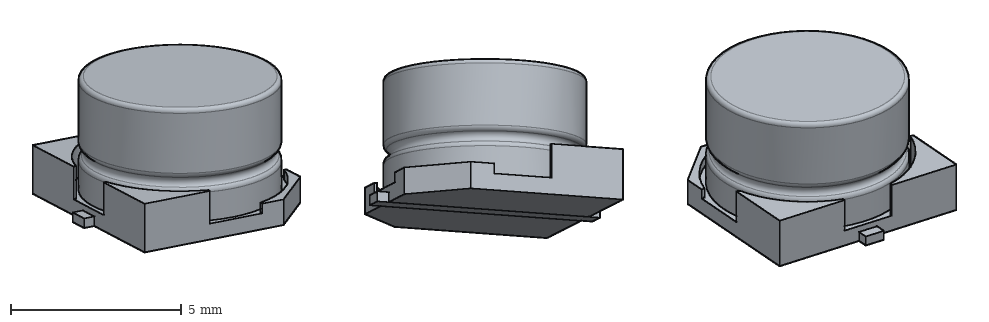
import cadquery as cq
import math

BASE_WIDTH = 6.3
LEAD_SPAN = 7.0
TOTAL_HEIGHT = 4.01

FLOOR_HEIGHT = 0.5
LOW_POST_HEIGHT = 0.8
HIGH_POST_HEIGHT = 1.51
CORNER_CUT = 1.51
RECESS_RADIUS = 3.18
END_GAP = 1.68
SIDE_GAP = 1.8

CAN_RADIUS = 2.99
TOP_EDGE_RADIUS = 0.14
GROOVE_HEIGHT = 1.7
GROOVE_DEPTH = 0.17
GROOVE_SPAN = 0.615

LEAD_WIDTH = 0.645
LEAD_THICKNESS = 0.3


def make_lead_strip():
    """Flat strip that runs through the base and projects at both ends."""
    return cq.Workplane("XY").box(LEAD_WIDTH, LEAD_SPAN, LEAD_THICKNESS, centered=(True, True, False))


def make_base():
    """Base plate with a bored recess and four corner posts, the +Y pair cut and lowered."""
    half = BASE_WIDTH / 2
    base = cq.Workplane("XY").box(BASE_WIDTH, BASE_WIDTH, HIGH_POST_HEIGHT, centered=(True, True, False))
    base = base.edges("|Z and >Y").chamfer(CORNER_CUT)

    low_side = (
        cq.Workplane("XY", origin=(0, half / 2, LOW_POST_HEIGHT))
        .box(BASE_WIDTH, half, HIGH_POST_HEIGHT, centered=(True, True, False))
    )
    bore = cq.Workplane("XY", origin=(0, 0, FLOOR_HEIGHT)).circle(RECESS_RADIUS).extrude(HIGH_POST_HEIGHT)
    base = base.cut(low_side).cut(bore)
    for size in ((END_GAP, BASE_WIDTH), (BASE_WIDTH, SIDE_GAP)):
        opening = cq.Workplane("XY", origin=(0, 0, FLOOR_HEIGHT)).rect(*size).extrude(HIGH_POST_HEIGHT)
        base = base.cut(opening)
    return base.cut(make_lead_strip())


def make_can():
    """Turned can: rounded top edge and a smooth S-lipped groove."""
    top_arc = TOP_EDGE_RADIUS * (1 - math.sqrt(0.5))
    lip = GROOVE_SPAN / 4
    half_depth = GROOVE_DEPTH / 2
    profile = (
        cq.Workplane("XZ")
        .moveTo(0, FLOOR_HEIGHT)
        .lineTo(CAN_RADIUS, FLOOR_HEIGHT)
        .lineTo(CAN_RADIUS, GROOVE_HEIGHT - 2 * lip)
        .tangentArcPoint((CAN_RADIUS - half_depth, GROOVE_HEIGHT - lip), relative=False)
        .tangentArcPoint((CAN_RADIUS - GROOVE_DEPTH, GROOVE_HEIGHT), relative=False)
        .tangentArcPoint((CAN_RADIUS - half_depth, GROOVE_HEIGHT + lip), relative=False)
        .tangentArcPoint((CAN_RADIUS, GROOVE_HEIGHT + 2 * lip), relative=False)
        .lineTo(CAN_RADIUS, TOTAL_HEIGHT - TOP_EDGE_RADIUS)
        .threePointArc(
            (CAN_RADIUS - top_arc, TOTAL_HEIGHT - top_arc),
            (CAN_RADIUS - TOP_EDGE_RADIUS, TOTAL_HEIGHT),
        )
        .lineTo(0, TOTAL_HEIGHT)
        .close()
    )
    return profile.revolve(360, (0, 0, 0), (0, 1, 0))


base = make_base()
can = make_can()
lead_strip = make_lead_strip()

result = cq.Compound.makeCompound([base.val(), can.val(), lead_strip.val()])